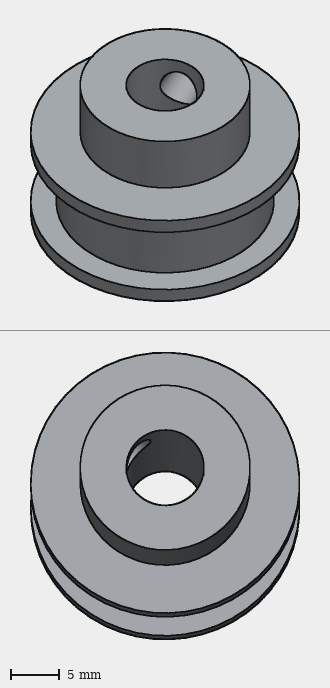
import cadquery as cq

flange_diameter = 27.7
drum_diameter = 22.45
hub_diameter = 17.5
bore_diameter = 8.0
flange_thickness = 1.6
drum_width = 7.9
hub_height = 6.37
set_screw_diameter = 4.15
set_screw_height = 2.8

drum_base = flange_thickness
upper_flange_base = drum_base + drum_width
hub_base = upper_flange_base + flange_thickness
total_height = hub_base + hub_height
set_screw_level = hub_base + set_screw_height


def disc(diameter, base, height):
    """Cylinder centred on the pulley axis, standing on the given level."""
    return cq.Workplane("XY").workplane(offset=base).circle(diameter / 2).extrude(height)


def set_screw_hole():
    """Radial hole from the pulley axis out through the +Y wall of the hub."""
    return (
        cq.Workplane("XZ")
        .center(0, set_screw_level)
        .circle(set_screw_diameter / 2)
        .extrude(-hub_diameter / 2)
    )


body = disc(drum_diameter, drum_base, drum_width)
for flange_base in (0, upper_flange_base):
    body = body.union(disc(flange_diameter, flange_base, flange_thickness))
body = body.union(disc(hub_diameter, hub_base, hub_height))

result = body.cut(disc(bore_diameter, 0, total_height)).cut(set_screw_hole())